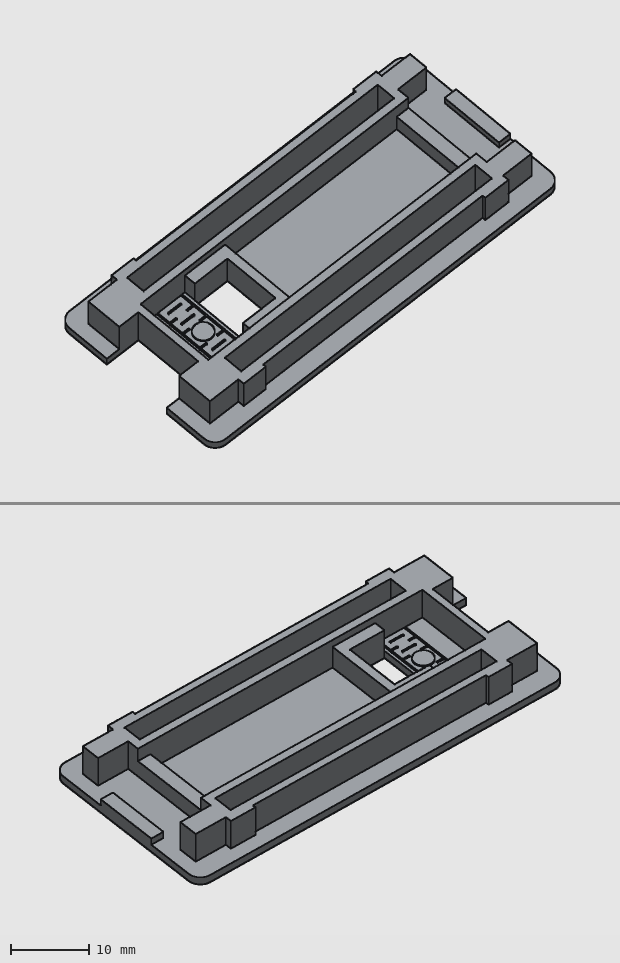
import cadquery as cq

LENGTH = 61.7
WIDTH = 28.7
PLATE_TOP = 1.25
CORNER_RADIUS = 2.0

FRAME_TOP = 5.9
END_MARGIN = 2.2
EAR_MARGIN = 7.3
LEG_OUTER_X = 11.15
LEG_INNER_X = 8.15
EAR_OUTER_X = 12.15
RAIL_OUTER_X = 11.65
NEAR_EAR_END = 11.2
FAR_EAR_END = 50.3
FAR_LEG_END = LENGTH - END_MARGIN
FRAME_FAR_END = LENGTH - EAR_MARGIN

NOTCH_WIDTH = 11.0
NOTCH_DEPTH = 5.6

SLOT_INNER_X = 7.45
SLOT_OUTER_X = 10.5
SLOT_START = 8.45
SLOT_END = 53.05

POCKET_WIDTH = 12.45
POCKET_START = 6.7
FLOOR_TOP = PLATE_TOP
CROSSBAR_START = 52.3
CROSSBAR_TOP = 3.8

WINDOW_WIDTH = 8.8
WINDOW_START = 14.6
WINDOW_END = 20.4
WINDOW_WALL_END = 21.8
WINDOW_WALL_TOP = 4.75

CATCH_WIDTH = 10.0
CATCH_DEPTH = 2.05
CATCH_TOP = 2.3

SLIT = 0.25
FLEXURE_Y = 11.85
FLEXURE_HALF_LENGTH = 2.15
EDGE_SLIT_X = (1.6, 3.95)
EDGE_SLIT_INNER = 0.9
MIDDLE_SLIT_X = (2.85, 5.25)
MIDDLE_SLIT_LENGTH = 2.3
BUTTON_RADIUS = 1.5
BUTTON_HEIGHT = 0.2


def block(x_start, x_end, y_start, y_end, z_start, z_end):
    """Box given by its limits along each axis."""
    size = (x_end - x_start, y_end - y_start, z_end - z_start)
    return cq.Workplane("XY").box(*size, centered=False).translate((x_start, y_start, z_start))


def centred_block(width, y_start, y_end, z_start, z_end):
    """Box symmetric about x = 0."""
    return block(-width / 2, width / 2, y_start, y_end, z_start, z_end)


def base_plate():
    plate = centred_block(WIDTH, 0, LENGTH, 0, PLATE_TOP)
    return plate.edges("|Z").fillet(CORNER_RADIUS)


def raised_frame():
    right_side = [
        (LEG_OUTER_X, END_MARGIN),
        (LEG_OUTER_X, EAR_MARGIN),
        (EAR_OUTER_X, EAR_MARGIN),
        (EAR_OUTER_X, NEAR_EAR_END),
        (RAIL_OUTER_X, NEAR_EAR_END),
        (RAIL_OUTER_X, FAR_EAR_END),
        (EAR_OUTER_X, FAR_EAR_END),
        (EAR_OUTER_X, FRAME_FAR_END),
        (LEG_OUTER_X, FRAME_FAR_END),
        (LEG_OUTER_X, FAR_LEG_END),
        (LEG_INNER_X, FAR_LEG_END),
        (LEG_INNER_X, FRAME_FAR_END),
    ]
    left_side = [(-x, y) for x, y in reversed(right_side)]
    return cq.Workplane("XY").polyline(right_side + left_side).close().extrude(FRAME_TOP)


def pocket_walls():
    """Low crossbar at the far end of the pocket and the wall behind and beside the window."""
    crossbar = centred_block(POCKET_WIDTH, CROSSBAR_START, FRAME_FAR_END, 0, CROSSBAR_TOP)
    window_wall = centred_block(POCKET_WIDTH, WINDOW_START, WINDOW_WALL_END, 0, WINDOW_WALL_TOP)
    return crossbar.union(window_wall)


def rail_slots():
    right = block(SLOT_INNER_X, SLOT_OUTER_X, SLOT_START, SLOT_END, 0, FRAME_TOP)
    return right.union(right.mirror("YZ"))


def slit(x, y, width, length):
    """Slit through the floor, centred on (x, y)."""
    return cq.Workplane("XY").center(x, y).rect(width, length).extrude(FLOOR_TOP)


def flexure_slits():
    """Zigzag slits that leave the button on a springy strip."""
    edge_length = FLEXURE_HALF_LENGTH - EDGE_SLIT_INNER
    edge_offset = (FLEXURE_HALF_LENGTH + EDGE_SLIT_INNER) / 2
    slits = cq.Workplane("XY")
    for end in (-1, 1):
        slits = slits.add(slit(0, FLEXURE_Y + end * FLEXURE_HALF_LENGTH, POCKET_WIDTH, SLIT))
    for side in (-1, 1):
        for x in MIDDLE_SLIT_X:
            slits = slits.add(slit(side * x, FLEXURE_Y, SLIT, MIDDLE_SLIT_LENGTH))
        for x in EDGE_SLIT_X:
            for end in (-1, 1):
                slits = slits.add(slit(side * x, FLEXURE_Y + end * edge_offset, SLIT, edge_length))
    return slits.combine()


def button():
    disc = cq.Workplane("XY").center(0, FLEXURE_Y).circle(BUTTON_RADIUS)
    return disc.extrude(FLOOR_TOP + BUTTON_HEIGHT)


pocket = centred_block(POCKET_WIDTH, POCKET_START, FRAME_FAR_END, FLOOR_TOP, FRAME_TOP)
window = centred_block(WINDOW_WIDTH, WINDOW_START, WINDOW_END, 0, FRAME_TOP)
notch = centred_block(NOTCH_WIDTH, 0, NOTCH_DEPTH, 0, FRAME_TOP)
catch = centred_block(CATCH_WIDTH, LENGTH - CATCH_DEPTH, LENGTH, 0, CATCH_TOP)

result = base_plate().union(raised_frame()).cut(pocket)
result = result.union(pocket_walls()).union(catch).union(button())
result = result.cut(window).cut(notch).cut(rail_slots()).cut(flexure_slits())